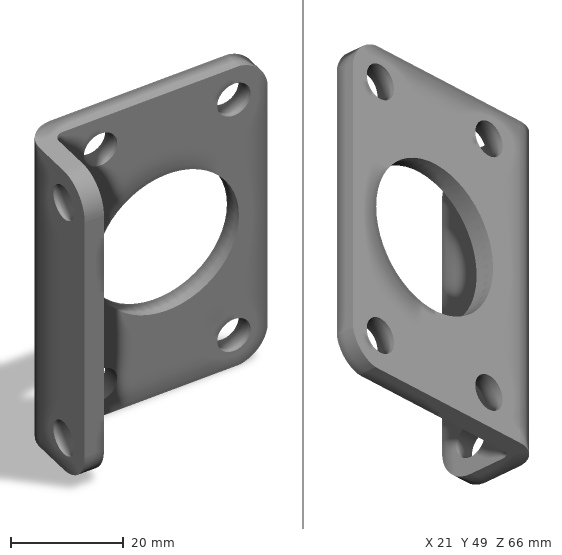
import cadquery as cq
import math

height = 66.0
flange_width = 21.0
plate_depth = 49.0
thickness = 4.0

inner_bend_radius = 2.0
outer_bend_radius = inner_bend_radius + thickness
plate_corner_setback = 5.75
flange_corner_radius = 7.0

bolt_diameter = 7.0
bolt_edge_distance = 7.0
bolt_spacing_y = 28.0
bore_diameter = 30.1

bolt_z = height / 2 - bolt_edge_distance
rear_bolt_y = plate_depth - bolt_edge_distance
front_bolt_y = rear_bolt_y - bolt_spacing_y
bore_y = (rear_bolt_y + front_bolt_y) / 2
flange_bolt_x = flange_width - bolt_edge_distance


def make_angle():
    """L-shaped sheet with a rounded bend along Z."""
    return (
        cq.Workplane("XY")
        .polyline([
            (0, 0),
            (flange_width, 0),
            (flange_width, thickness),
            (thickness, thickness),
            (thickness, plate_depth),
            (0, plate_depth),
        ])
        .close()
        .extrude(height / 2, both=True)
        .edges(cq.selectors.NearestToPointSelector((0, 0, 0)))
        .fillet(outer_bend_radius)
        .edges(cq.selectors.NearestToPointSelector((thickness, thickness, 0)))
        .fillet(inner_bend_radius)
    )


def plate_corner_waste(side):
    """Material outside a plate corner arc concentric with its bolt hole; side is +1 or -1 in Z."""
    arc_radius = math.hypot(bolt_edge_distance, bolt_edge_distance - plate_corner_setback)
    arc_reach = arc_radius * math.sqrt(0.5)
    corner_z = height / 2
    return (
        cq.Workplane("YZ")
        .moveTo(plate_depth, side * corner_z)
        .lineTo(plate_depth - plate_corner_setback, side * corner_z)
        .threePointArc(
            (rear_bolt_y + arc_reach, side * (bolt_z + arc_reach)),
            (plate_depth, side * (corner_z - plate_corner_setback)),
        )
        .close()
        .extrude(thickness)
    )


def plate_hole(y, z, diameter):
    """Cutter through the large leg, along X."""
    return cq.Workplane("YZ").center(y, z).circle(diameter / 2).extrude(thickness)


def flange_hole(x, z, diameter):
    """Cutter through the small leg, along Y."""
    return cq.Workplane("XZ").center(x, z).circle(diameter / 2).extrude(-thickness)


result = make_angle().faces(">X").edges("|Y").fillet(flange_corner_radius)
for side in (-1, 1):
    result = result.cut(plate_corner_waste(side))

result = result.cut(plate_hole(bore_y, 0, bore_diameter))
for z in (-bolt_z, bolt_z):
    result = result.cut(flange_hole(flange_bolt_x, z, bolt_diameter))
    for y in (front_bolt_y, rear_bolt_y):
        result = result.cut(plate_hole(y, z, bolt_diameter))